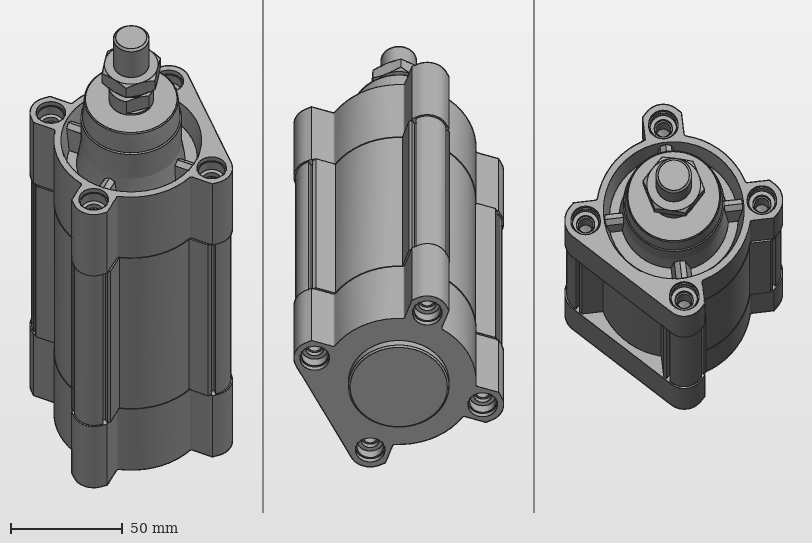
import cadquery as cq
import math

TOTAL_HEIGHT = 253
BOSS_HEIGHT = 4.3
HEAD_HEIGHT = 40.5
BARREL_HEIGHT = 99.7
COLLAR_STEP_Z = 200.5
COLLAR_TOP_Z = 212.4
NUT_BOTTOM_Z = 227.0
NUT_HEIGHT = 8.0

LOWER_HEAD_Z = BOSS_HEIGHT
BARREL_Z = LOWER_HEAD_Z + HEAD_HEIGHT
UPPER_HEAD_Z = BARREL_Z + BARREL_HEIGHT
HEAD_TOP_Z = UPPER_HEAD_Z + HEAD_HEIGHT

HEAD_WIDTH = 75.0
SCREW_OFFSET = 28.0
HEAD_BODY_DIAMETER = 69.3
HEAD_CORNER_RADIUS = HEAD_WIDTH / 2 - SCREW_OFFSET
HEAD_ARM_START = 25.0
HEAD_ARM_FILLET = 1.0
WEB_START = 14.0
BARREL_WIDTH = 73.7
BARREL_BODY_DIAMETER = 68.8
BARREL_CORNER_RADIUS = 9.0
BARREL_ARM_START = 23.3
GROOVE_WIDTH = 2.0
GROOVE_DEPTH = 2.3
GROOVE_OFFSET = 25.8

COLLAR_DIAMETER = 45.0
COLLAR_STEP_DIAMETER = 43.8
COLLAR_STEP_CHAMFER = 0.5
COLLAR_TOP_CHAMFER = 0.5
COLLAR_DOME_DIAMETER = 43.3
COLLAR_TOP_DIAMETER = 42.0
COLLAR_FOOT_DIAMETER = 49.0
RECESS_TOP_DIAMETER = 63.0
RECESS_FLOOR_DIAMETER = 57.7
RECESS_DEPTH = 15.2
SHALLOW_RECESS_DEPTH = 11.5
COLLAR_FOOT_DROP = 1.0
RIB_DROP = 2.5
RIB_CREST_WIDTH = 5
RIB_CREST_HEIGHT = 1.5
RIB_FLOOR_WIDTH = 9.5
BOSS_CHAMFER = 0.8

SCREW_HOLE_STEPS = [(13.2, 2.5), (12.0, 7.5), (8.0, 10), (6.5, 22.8)]
DRILL_TIP_ANGLE = 118

ROD_DIAMETER = 20.0
ROD_FLAT_WIDTH = 17.0
ROD_FLAT_BOTTOM_Z = 213.4
ROD_SHOULDER_Z = 222.0
ROD_SHOULDER_CHAMFER_HEIGHT = 1.0
ROD_SHOULDER_TOP_DIAMETER = 16.2
NECK_DIAMETER = 15.0
NECK_TOP_Z = 223.7
RELIEF_DIAMETER = 14.0
THREAD_DIAMETER = 16.0
THREAD_CHAMFER = 1.0
ROD_BOTTOM_Z = UPPER_HEAD_Z

TOLERANCE = 0.03

NUT_WIDTH = 24.0
NUT_CHAMFER_ANGLE = 30


def revolve_profile(points):
    """Solid of revolution about Z from (radius, height) points."""
    return cq.Workplane("XZ").polyline(points).close().revolve(360, (0, 0), (0, 1))


def four_arm_prism(width, body_diameter, corner_radius, arm_start, bottom_z, height):
    """Round body with four rounded corner arms whose sides slant inwards at 45 degrees."""
    half = width / 2
    arc_start = half - corner_radius
    arc_mid = arc_start + corner_radius * math.sqrt(0.5)
    inner = half - arm_start
    prism = cq.Workplane("XY").workplane(offset=bottom_z).circle(body_diameter / 2).extrude(height)
    arm = (
        cq.Workplane("XY")
        .workplane(offset=bottom_z)
        .moveTo(inner, 0)
        .lineTo(half, arm_start)
        .lineTo(half, arc_start)
        .threePointArc((arc_mid, arc_mid), (arc_start, half))
        .lineTo(arm_start, half)
        .lineTo(0, inner)
        .close()
        .extrude(height)
    )
    for quarter in range(4):
        prism = prism.union(arm.rotate((0, 0, 0), (0, 0, 1), 90 * quarter))
    return prism


def is_arm_root(edge):
    """Whether an upright edge of a head is where an arm side meets the round body."""
    place = edge.Center()
    on_body = abs(math.hypot(place.x, place.y) - HEAD_BODY_DIAMETER / 2) < TOLERANCE
    return on_body and abs(place.x) > TOLERANCE and abs(place.y) > TOLERANCE


def make_head(bottom_z):
    """Head with its four arms, closed to a flat face on the +Y side."""
    head = four_arm_prism(
        HEAD_WIDTH, HEAD_BODY_DIAMETER, HEAD_CORNER_RADIUS, HEAD_ARM_START, bottom_z, HEAD_HEIGHT
    )
    head = head.edges("|Z").filter(is_arm_root).fillet(HEAD_ARM_FILLET)
    web_depth = HEAD_WIDTH / 2 - WEB_START
    web = cq.Workplane("XY").box(2 * SCREW_OFFSET, web_depth, HEAD_HEIGHT, centered=(True, False, False))
    return head.union(web.translate((0, WEB_START, bottom_z)))


def make_barrel():
    """Barrel with a narrow groove along both sides of each arm."""
    barrel = four_arm_prism(
        BARREL_WIDTH, BARREL_BODY_DIAMETER, BARREL_CORNER_RADIUS, BARREL_ARM_START, BARREL_Z, BARREL_HEIGHT
    )
    groove = cq.Workplane("XY").box(
        GROOVE_DEPTH, GROOVE_WIDTH, BARREL_HEIGHT, centered=(False, True, False)
    )
    for quarter in range(4):
        for side in (-1, 1):
            cutter = groove.translate((BARREL_WIDTH / 2 - GROOVE_DEPTH, side * GROOVE_OFFSET, BARREL_Z))
            barrel = barrel.cut(cutter.rotate((0, 0, 0), (0, 0, 1), 90 * quarter))
    return barrel


def make_collar():
    """Collar around the rod: conical foot in the recess, plain stretch, then a slightly domed top."""
    floor_z = HEAD_TOP_Z - RECESS_DEPTH
    dome_top_radius = COLLAR_TOP_DIAMETER / 2
    dome_top_z = COLLAR_TOP_Z - COLLAR_TOP_CHAMFER
    dome_mid_z = (COLLAR_STEP_Z + dome_top_z) / 2
    return (
        cq.Workplane("XZ")
        .moveTo(0, floor_z)
        .lineTo(COLLAR_FOOT_DIAMETER / 2, floor_z)
        .lineTo(COLLAR_DIAMETER / 2, HEAD_TOP_Z - COLLAR_FOOT_DROP)
        .lineTo(COLLAR_DIAMETER / 2, COLLAR_STEP_Z - COLLAR_STEP_CHAMFER)
        .lineTo(COLLAR_STEP_DIAMETER / 2, COLLAR_STEP_Z)
        .threePointArc((COLLAR_DOME_DIAMETER / 2, dome_mid_z), (dome_top_radius, dome_top_z))
        .lineTo(dome_top_radius - COLLAR_TOP_CHAMFER, COLLAR_TOP_Z)
        .lineTo(0, COLLAR_TOP_Z)
        .close()
        .revolve(360, (0, 0), (0, 1))
    )


def make_recess():
    """Tapered recess of the upper head, shallower in the quarter on the +Y side."""
    floor_z = HEAD_TOP_Z - RECESS_DEPTH
    recess = revolve_profile([
        (0, floor_z),
        (RECESS_FLOOR_DIAMETER / 2, floor_z),
        (RECESS_TOP_DIAMETER / 2, HEAD_TOP_Z),
        (0, HEAD_TOP_Z),
    ])
    raised_floor = (
        cq.Workplane("XY")
        .workplane(offset=floor_z)
        .polyline([(0, 0), (HEAD_WIDTH / 2, HEAD_WIDTH / 2), (-HEAD_WIDTH / 2, HEAD_WIDTH / 2)])
        .close()
        .extrude(RECESS_DEPTH - SHALLOW_RECESS_DEPTH)
    )
    return recess.cut(raised_floor)


def make_ribs():
    """Four ribs with gabled crests that cross the recess towards the screws."""
    floor_z = HEAD_TOP_Z - RECESS_DEPTH
    crest_z = HEAD_TOP_Z - RIB_DROP
    rib = (
        cq.Workplane("YZ")
        .polyline([
            (-RIB_FLOOR_WIDTH / 2, floor_z),
            (RIB_FLOOR_WIDTH / 2, floor_z),
            (RIB_CREST_WIDTH / 2, crest_z - RIB_CREST_HEIGHT),
            (0, crest_z),
            (-RIB_CREST_WIDTH / 2, crest_z - RIB_CREST_HEIGHT),
        ])
        .close()
        .extrude(RECESS_TOP_DIAMETER / 2)
    )
    ribs = cq.Workplane("XY")
    for quarter in range(4):
        ribs = ribs.add(rib.rotate((0, 0, 0), (0, 0, 1), 45 + 90 * quarter))
    return ribs.combine()


def make_screw_hole():
    """Cutter for one screw hole, opening upwards at height 0 and ending in a drill tip."""
    points = [(0, 0)]
    depth = 0
    for diameter, step_depth in SCREW_HOLE_STEPS:
        points += [(diameter / 2, -depth), (diameter / 2, -step_depth)]
        depth = step_depth
    tip = SCREW_HOLE_STEPS[-1][0] / 2 / math.tan(math.radians(DRILL_TIP_ANGLE / 2))
    return revolve_profile(points + [(0, -depth - tip)])


def make_rod():
    """Piston rod with threaded end, relief, neck and two wrench flats."""
    rod_radius = ROD_DIAMETER / 2
    thread_radius = THREAD_DIAMETER / 2
    rod = revolve_profile([
        (0, ROD_BOTTOM_Z),
        (rod_radius, ROD_BOTTOM_Z),
        (rod_radius, ROD_SHOULDER_Z - ROD_SHOULDER_CHAMFER_HEIGHT),
        (ROD_SHOULDER_TOP_DIAMETER / 2, ROD_SHOULDER_Z),
        (NECK_DIAMETER / 2, ROD_SHOULDER_Z),
        (NECK_DIAMETER / 2, NECK_TOP_Z),
        (RELIEF_DIAMETER / 2, NECK_TOP_Z),
        (thread_radius, NUT_BOTTOM_Z),
        (thread_radius, TOTAL_HEIGHT - THREAD_CHAMFER),
        (thread_radius - THREAD_CHAMFER, TOTAL_HEIGHT),
        (0, TOTAL_HEIGHT),
    ])
    flat_height = ROD_SHOULDER_Z - ROD_FLAT_BOTTOM_Z
    for side in (-1, 1):
        cutter = cq.Workplane("XY").box(ROD_DIAMETER, ROD_DIAMETER, flat_height, centered=(True, True, False))
        offset = side * (ROD_FLAT_WIDTH + ROD_DIAMETER) / 2
        rod = rod.cut(cutter.translate((offset, 0, ROD_FLAT_BOTTOM_Z)))
    return rod


def make_nut():
    """Hexagon nut with flats facing along X and both ends chamfered at the corners."""
    corner_radius = NUT_WIDTH / math.sqrt(3)
    flat_radius = NUT_WIDTH / 2
    top_z = NUT_BOTTOM_Z + NUT_HEIGHT
    chamfer = (corner_radius - flat_radius) * math.tan(math.radians(NUT_CHAMFER_ANGLE))
    nut = (
        cq.Workplane("XY")
        .workplane(offset=NUT_BOTTOM_Z)
        .polygon(6, 2 * corner_radius)
        .circle(THREAD_DIAMETER / 2)
        .extrude(NUT_HEIGHT)
        .rotate((0, 0, 0), (0, 0, 1), 30)
    )
    chamfer_envelope = revolve_profile([
        (0, NUT_BOTTOM_Z),
        (flat_radius, NUT_BOTTOM_Z),
        (corner_radius, NUT_BOTTOM_Z + chamfer),
        (corner_radius, top_z - chamfer),
        (flat_radius, top_z),
        (0, top_z),
    ])
    return nut.intersect(chamfer_envelope)


def make_housing(rod):
    """Both heads, barrel, boss and collar as one solid, with screw holes and the rod's bore."""
    boss = (
        cq.Workplane("XY")
        .circle(COLLAR_DIAMETER / 2)
        .extrude(BOSS_HEIGHT)
        .faces("<Z")
        .chamfer(BOSS_CHAMFER)
    )
    housing = make_head(UPPER_HEAD_Z).cut(make_recess())
    housing = housing.union(make_ribs()).union(make_collar())
    housing = housing.union(make_barrel()).union(make_head(LOWER_HEAD_Z)).union(boss)

    screw_hole = make_screw_hole()
    lower_screw_hole = screw_hole.rotate((0, 0, 0), (1, 0, 0), 180)
    for x in (-SCREW_OFFSET, SCREW_OFFSET):
        for y in (-SCREW_OFFSET, SCREW_OFFSET):
            housing = housing.cut(screw_hole.translate((x, y, HEAD_TOP_Z)))
            housing = housing.cut(lower_screw_hole.translate((x, y, LOWER_HEAD_Z)))
    return housing.cut(rod)


piston_rod = make_rod()
nut = make_nut()
housing = make_housing(piston_rod)

result = cq.Compound.makeCompound([housing.val(), piston_rod.val(), nut.val()])